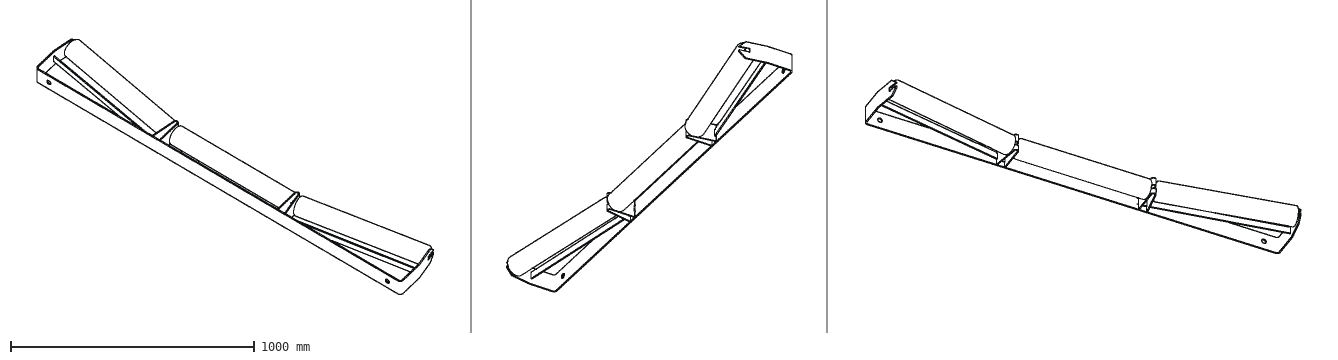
import math

import cadquery as cq

frame_length = 1910.0
frame_height = 80.0
frame_thickness = 6.0
corner_radius = 15.0
trough_angle = 10.0

plate_bend_y = 125.0
plate_top_y = 246.0
plate_chamfer = 29.0

hole_spacing = 1769.0
hole_diameter = 21.0

brace_plate_y = 120.0
brace_height = 30.0

bracket_inner_x = 305.0
bracket_crest_y = 132.0
bracket_thickness = 5.0
bracket_gap = 5.0

roller_radius = 44.5
roller_length = 600.0
roller_fillet = 5.0
shaft_radius = 10.0
shaft_flat_width = 17.0
shaft_reach = 11.0
center_roller_y = 100.0
center_roller_z = -4.8
side_roller_x = 632.0
side_roller_y = 157.0
side_roller_outer_z = 2.0

half_length = frame_length / 2
slope = math.tan(math.radians(trough_angle))
cos_trough = math.cos(math.radians(trough_angle))
sin_trough = math.sin(math.radians(trough_angle))
plate_top_x = half_length - (plate_top_y - plate_bend_y) * slope
slant_thickness = frame_thickness / cos_trough
side_rise = side_roller_outer_z - center_roller_z
side_tilt = math.degrees(math.asin(side_rise / roller_length))
side_center = (side_roller_x, side_roller_y, center_roller_z + side_rise / 2)
side_inner_x = side_roller_x - roller_length / 2 * cos_trough
side_inner_y = side_roller_y - roller_length / 2 * sin_trough
bracket_line_x = side_inner_x + side_inner_y * slope - bracket_gap / cos_trough


def extrude_outline(outline, height):
    """Extrude a closed XY outline by height, centred on z = 0."""
    return outline.extrude(height).translate((0, 0, -height / 2))


def make_cylinder(radius, length):
    """Cylinder along X, centred on the origin."""
    return cq.Workplane("YZ", origin=(-length / 2, 0, 0)).circle(radius).extrude(length)


def make_back_and_plate():
    """Half of the bent strip: half the back and one end plate with a chamfered top."""
    plate_inner_x = half_length - frame_thickness
    strip = extrude_outline(
        cq.Workplane("XY").polyline([
            (0, 0),
            (half_length, 0),
            (half_length, plate_bend_y),
            (plate_top_x, plate_top_y),
            (plate_top_x - slant_thickness, plate_top_y),
            (plate_inner_x, plate_bend_y),
            (plate_inner_x, frame_thickness),
            (0, frame_thickness),
        ]).close(),
        frame_height,
    )
    outer_corner = cq.selectors.NearestToPointSelector((half_length, 0, 0))
    strip = strip.edges("|Z").edges(outer_corner).fillet(corner_radius)
    inner_corner = cq.selectors.NearestToPointSelector((plate_inner_x, frame_thickness, 0))
    strip = strip.edges("|Z").edges(inner_corner).fillet(corner_radius - frame_thickness)

    half_height = frame_height / 2
    for side in (1, -1):
        corner = (
            cq.Workplane("YZ")
            .polyline([
                (plate_top_y, side * half_height),
                (plate_top_y - plate_chamfer, side * half_height),
                (plate_top_y, side * (half_height - plate_chamfer)),
            ])
            .close()
            .extrude(half_length)
        )
        strip = strip.cut(corner)

    hole = (
        cq.Workplane("XZ")
        .center(hole_spacing / 2, 0)
        .circle(hole_diameter / 2)
        .extrude(-frame_thickness)
    )
    return strip.cut(hole)


def make_brace():
    """Narrow strip parallel to the side roller, from the back to the end plate."""
    plate_x = half_length - frame_thickness
    top_foot_x = plate_x - (brace_plate_y - frame_thickness) / slope
    under_foot_x = top_foot_x + slant_thickness / slope
    outline = cq.Workplane("XY").polyline([
        (top_foot_x, frame_thickness),
        (plate_x, brace_plate_y),
        (plate_x, brace_plate_y - slant_thickness),
        (under_foot_x, frame_thickness),
    ]).close()
    return extrude_outline(outline, brace_height)


def make_bracket():
    """Upright leg and slanted leg standing on the back, joined by a round crest."""
    crest_radius = (
        (bracket_line_x - bracket_inner_x) * cos_trough - bracket_crest_y * sin_trough
    ) / (1 + cos_trough - sin_trough)
    inside_radius = crest_radius - bracket_thickness
    crest_x = bracket_inner_x + crest_radius
    crest_y = bracket_crest_y - crest_radius
    foot_x = bracket_line_x - frame_thickness * slope
    outline = (
        cq.Workplane("XY")
        .moveTo(bracket_inner_x, frame_thickness)
        .lineTo(bracket_inner_x, crest_y)
        .threePointArc(
            (crest_x, bracket_crest_y),
            (crest_x + crest_radius * cos_trough, crest_y + crest_radius * sin_trough),
        )
        .lineTo(foot_x, frame_thickness)
        .lineTo(foot_x - bracket_thickness / cos_trough, frame_thickness)
        .lineTo(crest_x + inside_radius * cos_trough, crest_y + inside_radius * sin_trough)
        .threePointArc(
            (crest_x, crest_y + inside_radius),
            (crest_x - inside_radius, crest_y),
        )
        .lineTo(bracket_inner_x + bracket_thickness, frame_thickness)
        .close()
    )
    return extrude_outline(outline, frame_height)


def make_shaft(length):
    """Round shaft along X with flats facing +Z and -Z."""
    shaft = make_cylinder(shaft_radius, length)
    return shaft.intersect(cq.Workplane("XY").box(length, 2 * shaft_radius, shaft_flat_width))


def make_shaft_slot():
    """Cutter along X for a seated shaft and its way out toward +Y, past each shaft end."""
    length = roller_length + 4 * shaft_reach
    depth = plate_top_y
    channel = cq.Workplane("XY").box(length, depth, shaft_flat_width)
    return channel.translate((0, depth / 2 - shaft_radius, 0))


def make_roller():
    """Roller along X with rounded rims and a shaft end at each side."""
    barrel = make_cylinder(roller_radius, roller_length)
    barrel = barrel.faces("<X or >X").edges().fillet(roller_fillet)
    return barrel.union(make_shaft(roller_length + 2 * shaft_reach))


def place_at_center(shape):
    return shape.translate((0, center_roller_y, center_roller_z))


def place_at_side(shape):
    """Move a shape from the origin to the +X roller place, tilted and with its outer end raised."""
    tilted = shape.rotate((0, 0, 0), (0, 1, 0), -side_tilt)
    return tilted.rotate((0, 0, 0), (0, 0, 1), trough_angle).translate(side_center)


def make_frame():
    """Back, end plates, braces and brackets welded into one solid."""
    half = make_back_and_plate().union(make_brace()).union(make_bracket())
    half = half.cut(place_at_center(make_shaft_slot()))
    half = half.cut(place_at_side(make_shaft_slot()))
    return half.union(half.mirror("YZ"))


frame = make_frame()
center_roller = place_at_center(make_roller())
side_rollers = [place_at_side(make_roller())]
side_rollers.append(side_rollers[0].mirror("YZ"))

result = cq.Compound.makeCompound([
    frame.val(),
    center_roller.val(),
    *[roller.val() for roller in side_rollers],
])